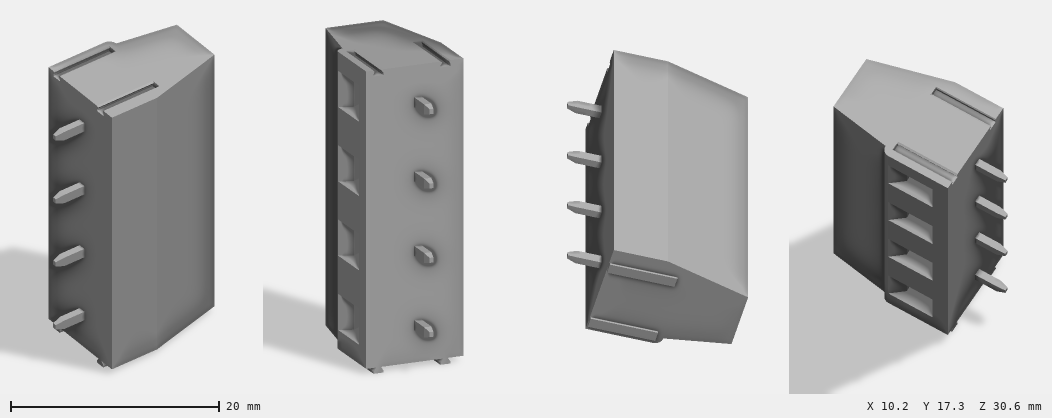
import cadquery as cq


POLES = 4
PITCH = 7.5
HEIGHT = POLES * PITCH
WIDTH = 10.2
DEPTH = 14.0
SHOULDER_RADIUS = 0.8
SHOULDER_Y = 7.5
SHOULDER_START_Y = SHOULDER_Y - SHOULDER_RADIUS
RIGHT_SLOPE_Y = 5.4
BACK_LEFT_X = 1.85
BACK_RIGHT_X = 7.9

POCKET_DEPTH = 1.5
POCKET_HEIGHT = 3.65
POCKET_START_Y = 1.7
POCKET_TAPER = 0.53
RAMP_DEPTH = 1.0
RAMP_LENGTH = 1.5
POCKET_END_Y = SHOULDER_START_Y
FLOOR_END_Y = POCKET_END_Y - RAMP_LENGTH

PIN_X = 5.4
PIN_WIDTH = 0.75
PIN_HEIGHT = 1.0
PIN_SHANK = 2.4
PIN_TIP = 0.9
PIN_TIP_WIDTH = 0.4
PIN_TIP_HEIGHT = 0.5

DOVETAIL_CENTRES = (1.3, 8.3)
DOVETAIL_MID_X = sum(DOVETAIL_CENTRES) / len(DOVETAIL_CENTRES)
DOVETAIL_LENGTH = SHOULDER_START_Y
DOVETAIL_DEPTH = 0.6
DOVETAIL_WIDTH = 1.05
FLANK_DEPTH = 0.4
RIDGE_NECK = 0.5
GROOVE_OUTER_LIP = 0.1
GROOVE_INNER_LIP = 0.2
MOUTH_DEPTH = 0.12


def make_housing():
    """Extruded outline with sloped sides and a rounded shoulder on the left."""
    return (
        cq.Workplane("XY")
        .moveTo(0, 0)
        .lineTo(WIDTH, 0)
        .lineTo(WIDTH, RIGHT_SLOPE_Y)
        .lineTo(BACK_RIGHT_X, DEPTH)
        .lineTo(BACK_LEFT_X, DEPTH)
        .lineTo(SHOULDER_RADIUS, SHOULDER_Y)
        .radiusArc((0, SHOULDER_START_Y), -SHOULDER_RADIUS)
        .close()
        .extrude(HEIGHT)
    )


def make_pocket(z):
    """Tapered wire entry centred on height z; its back wall is a ramp, then straight."""
    profile = (
        cq.Workplane("XY", origin=(0, 0, z - POCKET_HEIGHT / 2))
        .polyline([
            (0, POCKET_START_Y),
            (0, POCKET_END_Y),
            (RAMP_DEPTH, FLOOR_END_Y),
            (POCKET_DEPTH, FLOOR_END_Y),
            (POCKET_DEPTH, POCKET_START_Y + POCKET_TAPER),
        ])
        .close()
        .extrude(POCKET_HEIGHT)
    )
    half_opening = POCKET_HEIGHT / 2
    half_floor = half_opening - POCKET_TAPER
    side_taper = (
        cq.Workplane("XZ")
        .polyline([
            (0, z - half_opening),
            (0, z + half_opening),
            (POCKET_DEPTH, z + half_floor),
            (POCKET_DEPTH, z - half_floor),
        ])
        .close()
        .extrude(-DEPTH)
    )
    return profile.intersect(side_taper)


def make_pin(z):
    """Rectangular solder pin with a tapered tip, pointing toward -Y."""
    shank = (
        cq.Workplane("XZ", origin=(PIN_X, 0, z))
        .rect(PIN_WIDTH, PIN_HEIGHT)
        .extrude(PIN_SHANK)
    )
    tip = (
        cq.Workplane("XZ", origin=(PIN_X, -PIN_SHANK, z))
        .rect(PIN_WIDTH, PIN_HEIGHT)
        .workplane(offset=PIN_TIP)
        .rect(PIN_TIP_WIDTH, PIN_TIP_HEIGHT)
        .loft(ruled=True)
    )
    return shank.union(tip)


def make_ridge(x):
    """Dovetail ridge hanging below the lower end."""
    half = DOVETAIL_WIDTH / 2
    return (
        cq.Workplane("XZ", origin=(x, 0, 0))
        .polyline([
            (-RIDGE_NECK / 2, 0),
            (RIDGE_NECK / 2, 0),
            (half, -FLANK_DEPTH),
            (half, -DOVETAIL_DEPTH),
            (-half, -DOVETAIL_DEPTH),
            (-half, -FLANK_DEPTH),
        ])
        .close()
        .extrude(-DOVETAIL_LENGTH)
    )


def make_groove(x):
    """Dovetail groove in the upper end, its mouth flared back out to full width."""
    inward = 1 if x < DOVETAIL_MID_X else -1
    half = DOVETAIL_WIDTH / 2
    return (
        cq.Workplane("XZ", origin=(x, 0, HEIGHT))
        .polyline([
            (-inward * half, 0),
            (-inward * (half - GROOVE_OUTER_LIP), -MOUTH_DEPTH),
            (-inward * half, -FLANK_DEPTH),
            (-inward * half, -DOVETAIL_DEPTH),
            (inward * half, -DOVETAIL_DEPTH),
            (inward * half, -FLANK_DEPTH),
            (inward * (half - GROOVE_INNER_LIP), -MOUTH_DEPTH),
            (inward * half, 0),
        ])
        .close()
        .extrude(-DOVETAIL_LENGTH)
    )


result = make_housing()

for pole in range(POLES):
    pole_z = (pole + 0.5) * PITCH
    result = result.cut(make_pocket(pole_z)).union(make_pin(pole_z))

for centre_x in DOVETAIL_CENTRES:
    result = result.cut(make_groove(centre_x)).union(make_ridge(centre_x))